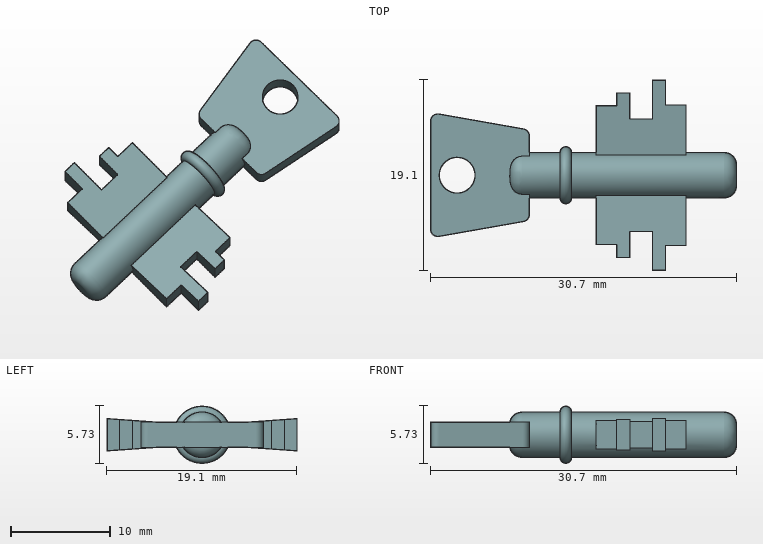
import cadquery as cq
import math

LENGTH = 30.7

BOW_LENGTH = 9.92
BOW_THICKNESS = 2.52
BOW_OUTER_HALF_WIDTH = 6.3
BOW_TAPER_ANGLE = 10.0
BOW_CORNER_RADIUS = 0.75
HOLE_X = 2.67
HOLE_DIAMETER = 3.55

SHAFT_START = 7.92
SHAFT_DIAMETER = 4.57
SHAFT_RADIUS = SHAFT_DIAMETER / 2
SHAFT_END_RADIUS = 1.25
COLLAR_X = 13.57
COLLAR_BEAD_RADIUS = 0.58

BIT_SPAN = 19.05
BIT_START = 16.6
BIT_END = 25.63
SHORT_TOOTH_START = 18.67
LONG_TOOTH_START = 22.25
TOOTH_WIDTH = 1.32
REAR_SHOULDER = 6.97
SHORT_TOOTH_TIP = 8.25
NOTCH_FLOOR = 5.65
LONG_TOOTH_TIP = BIT_SPAN / 2
FRONT_SHOULDER = 7.05

BIT_AXIS_THICKNESS = 1.9
BIT_TIP_THICKNESS = 3.25


def make_bow():
    inner_half_width = BOW_OUTER_HALF_WIDTH - BOW_LENGTH * math.tan(math.radians(BOW_TAPER_ANGLE))
    plate = (
        cq.Workplane("XY")
        .polyline([
            (0, -BOW_OUTER_HALF_WIDTH),
            (BOW_LENGTH, -inner_half_width),
            (BOW_LENGTH, inner_half_width),
            (0, BOW_OUTER_HALF_WIDTH),
        ])
        .close()
        .extrude(BOW_THICKNESS / 2, both=True)
        .edges("|Z")
        .fillet(BOW_CORNER_RADIUS)
    )
    hole = (
        cq.Workplane("XY")
        .center(HOLE_X, 0)
        .circle(HOLE_DIAMETER / 2)
        .extrude(BOW_THICKNESS, both=True)
    )
    return plate.cut(hole)


def make_shaft():
    return (
        cq.Workplane("YZ", origin=(SHAFT_START, 0, 0))
        .circle(SHAFT_RADIUS)
        .extrude(LENGTH - SHAFT_START)
        .faces("<X or >X")
        .edges()
        .fillet(SHAFT_END_RADIUS)
    )


def make_collar():
    return cq.Workplane("XY").add(
        cq.Solid.makeTorus(
            SHAFT_RADIUS,
            COLLAR_BEAD_RADIUS,
            cq.Vector(COLLAR_X, 0, 0),
            cq.Vector(1, 0, 0),
        )
    )


def make_bit():
    short_tooth_end = SHORT_TOOTH_START + TOOTH_WIDTH
    long_tooth_end = LONG_TOOTH_START + TOOTH_WIDTH
    outline = (
        cq.Workplane("XY")
        .polyline([
            (BIT_START, 0),
            (BIT_START, REAR_SHOULDER),
            (SHORT_TOOTH_START, REAR_SHOULDER),
            (SHORT_TOOTH_START, SHORT_TOOTH_TIP),
            (short_tooth_end, SHORT_TOOTH_TIP),
            (short_tooth_end, NOTCH_FLOOR),
            (LONG_TOOTH_START, NOTCH_FLOOR),
            (LONG_TOOTH_START, LONG_TOOTH_TIP),
            (long_tooth_end, LONG_TOOTH_TIP),
            (long_tooth_end, FRONT_SHOULDER),
            (BIT_END, FRONT_SHOULDER),
            (BIT_END, 0),
        ])
        .close()
        .extrude(BIT_TIP_THICKNESS / 2, both=True)
    )
    wedge = (
        cq.Workplane("YZ", origin=(BIT_START, 0, 0))
        .polyline([
            (0, -BIT_AXIS_THICKNESS / 2),
            (LONG_TOOTH_TIP, -BIT_TIP_THICKNESS / 2),
            (LONG_TOOTH_TIP, BIT_TIP_THICKNESS / 2),
            (0, BIT_AXIS_THICKNESS / 2),
        ])
        .close()
        .extrude(BIT_END - BIT_START)
    )
    return outline.intersect(wedge)


bit = make_bit()
result = make_shaft().union(make_collar()).union(make_bow()).union(bit).union(bit.mirror("XZ"))